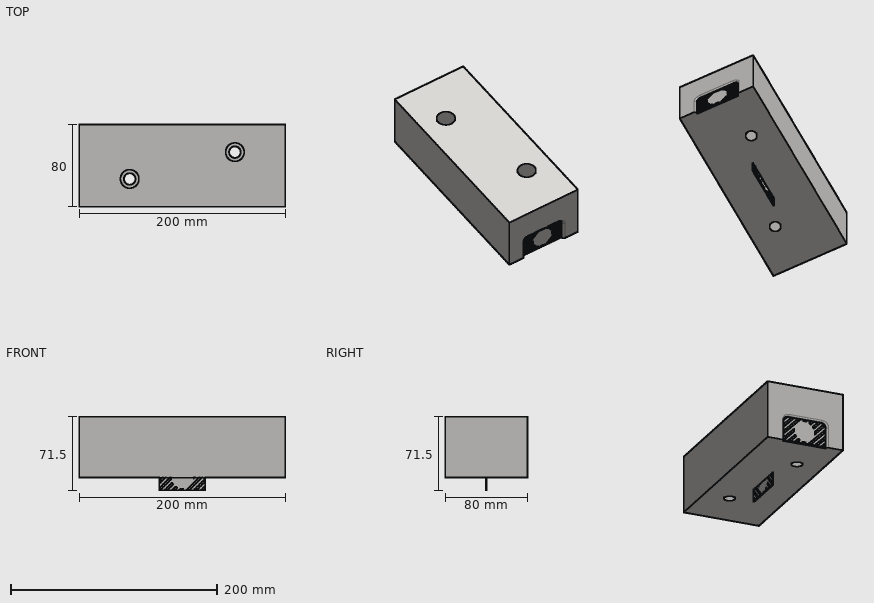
import cadquery as cq
import math

block_length = 200.0
block_width = 80.0
block_height = 59.0

hole_diameter = 11.0
counterbore_diameter = 18.0
counterbore_depth = 20.0
hole_x = 51.0
hole_y = 13.0

plate_width = 45.0
plate_height = 25.0
plate_thickness = 1.0
plate_corner_radius = 5.0

stripe_width = 2.0
stripe_pitch = 5.0
stripe_angle = 45.0
stripe_depth = 0.2
stripe_margin = 0.5
plain_disc_diameter = 22.0

rim_radius = 2.0
recess_depth = rim_radius + plate_thickness
recess_height = 26.0
end_plate_center_z = recess_height - plate_height / 2


def make_plate_blank(margin, thickness):
    """Plate outline, inset by margin, centred on the XZ plane and extruded toward +Y from Y = 0."""
    width = plate_width - 2 * margin
    height = plate_height - 2 * margin
    return (
        cq.Workplane("XY")
        .box(width, thickness, height, centered=(True, False, True))
        .edges("|Y and >Z")
        .fillet(plate_corner_radius - margin)
    )


def make_stripes():
    """Groove volumes that lie on the face at Y = 0, cut short at the margin and at the plain disc."""
    diagonal = math.hypot(plate_width, plate_height)
    stripe_count = 2 * math.ceil(diagonal / stripe_pitch / 2)
    bars = cq.Workplane("XZ").rarray(diagonal, stripe_pitch, 1, stripe_count)
    bars = bars.rect(diagonal, stripe_width).extrude(-stripe_depth)
    bars = bars.rotate((0, 0, 0), (0, 1, 0), -stripe_angle)
    plain_disc = cq.Workplane("XZ").circle(plain_disc_diameter / 2).extrude(-stripe_depth)
    return bars.intersect(make_plate_blank(stripe_margin, stripe_depth)).cut(plain_disc)


def make_plate():
    """Striped plate, centred on the origin, with its striped face toward -Y."""
    plate = make_plate_blank(0, plate_thickness).cut(make_stripes())
    return plate.translate((0, -plate_thickness / 2, 0))


def place_on_end(shape):
    """Turn a shape made at the origin to face -X and seat it on the floor of the end recess."""
    center_x = -block_length / 2 + recess_depth - plate_thickness / 2
    turned = shape.rotate((0, 0, 0), (0, 0, 1), -90)
    return turned.translate((center_x, 0, end_plate_center_z))


def cut_end_recess(block):
    """Recess for the end plate, with a convex rounding along its rim."""
    end_x = -block_length / 2
    recess = (
        cq.Workplane("XY")
        .box(recess_depth, plate_width, recess_height, centered=(False, True, False))
        .edges("|X and >Z")
        .fillet(plate_corner_radius)
        .translate((end_x, 0, 0))
    )
    rim_selector = cq.selectors.BoxSelector(
        (end_x - rim_radius / 2, -plate_width, rim_radius / 2),
        (end_x + rim_radius / 2, plate_width, recess_height + rim_radius),
    )
    return block.cut(recess).edges(rim_selector).fillet(rim_radius)


def cut_plate_slot(block):
    """Slot in the underside that holds the upper half of the lower plate."""
    slot = make_plate_blank(0, plate_thickness).translate((0, -plate_thickness / 2, 0))
    return block.cut(slot)


def drill_counterbored_holes(block):
    """Two through holes, counterbored from the top."""
    return (
        block.faces(">Z")
        .workplane(origin=(0, 0, block_height))
        .pushPoints([(-hole_x, -hole_y), (hole_x, hole_y)])
        .cboreHole(hole_diameter, counterbore_diameter, counterbore_depth)
    )


def make_block():
    """Block with its end recess, underside slot and screw holes."""
    block = cq.Workplane("XY").box(block_length, block_width, block_height, centered=(True, True, False))
    block = cut_end_recess(block)
    block = cut_plate_slot(block)
    return drill_counterbored_holes(block)


block = make_block()

plates = [make_plate(), place_on_end(make_plate())]

result = cq.Compound.makeCompound([block.val(), *[plate.val() for plate in plates]])